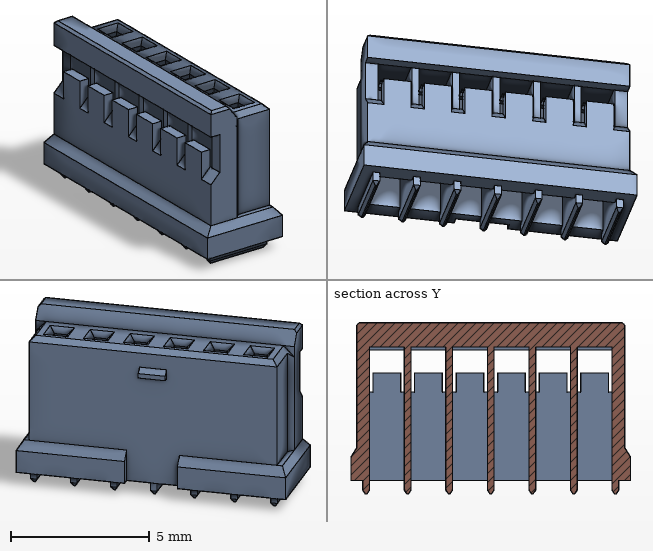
import cadquery as cq


contact_count = 6
row_length = 9.0
pitch = row_length / contact_count
row_start = -pitch * (contact_count - 1) / 2
contact_centres = [row_start + pitch * i for i in range(contact_count)]
wall_centres = [row_start + pitch * (i - 0.5) for i in range(contact_count + 1)]

flange_length = 10.1
flange_depth = 3.35
flange_bottom = 0.49
flange_shoulder = 1.34
flange_top = 1.68
flange_notch_width = 1.98

body_length = 9.7
front_face = 0.3
block_back = 1.45
ridge_top = 6.2
ridge_chamfer = 0.1
ridge_slope_run = 0.4

rear_length = 9.29
rear_face = 3.06
rear_top = 5.7
rear_chamfer = 0.2
rear_step = (body_length - rear_length) / 2

recess_depth = 0.39
recess_floor = front_face + recess_depth
recess_bottom = 3.3
recess_top = 5.2
tooth_width = 1.01
tooth_top = 4.38

wall_thickness = 0.25
cavity_width = pitch - wall_thickness
cavity_top = 5.31
entry_centre = 2.24
entry_width = 0.91
throat_width = 0.48
entry_depth = (entry_width - throat_width) / 2
cavity_back = entry_centre + entry_width / 2

fin_front = 0.42
fin_depth = 2.52
fin_taper = 0.1
fin_tip_height = 0.15

bump_width = 1.01
bump_depth = 0.18
bump_bottom = 4.6
bump_height = 0.35


def box(x_centre, width, y_start, y_end, z_start, z_end):
    """Upright block centred on x_centre."""
    return (
        cq.Workplane("XY")
        .box(width, y_end - y_start, z_end - z_start, centered=(True, False, False))
        .translate((x_centre, y_start, z_start))
    )


def side_prism(points, width):
    """Extrude a (y, z) outline symmetrically about X = 0."""
    return cq.Workplane("YZ").polyline(points).close().extrude(width / 2, both=True)


def frustum(centre, lower_size, upper_size, height):
    """Rectangular frustum: centre is the middle of its lower face, sizes are (x, y)."""
    return (
        cq.Workplane("XY", origin=centre)
        .rect(*lower_size)
        .workplane(offset=height)
        .rect(*upper_size)
        .loft(ruled=True)
    )


def end_chamfer(length, top, chamfer, depth):
    """Wedges to cut from the top ends of a block, each leaving a 45 degree chamfer."""
    half = length / 2
    reach = 2 * chamfer
    wedge = (
        cq.Workplane("XZ")
        .polyline([
            (half - chamfer, top),
            (half + reach, top),
            (half + reach, top - chamfer - reach),
        ])
        .close()
        .extrude(-depth)
    )
    return wedge.union(wedge.mirror("YZ"))


def make_flange():
    band = box(0, flange_length, 0, flange_depth, flange_bottom, flange_shoulder)
    bevel_outline = [
        (0, flange_shoulder),
        (front_face, flange_top),
        (rear_face, flange_top),
        (flange_depth, flange_shoulder),
    ]
    bevel = side_prism(bevel_outline, flange_length)
    end_slope = (
        cq.Workplane("XZ")
        .polyline([
            (-flange_length / 2, flange_shoulder),
            (-body_length / 2, flange_top),
            (body_length / 2, flange_top),
            (flange_length / 2, flange_shoulder),
        ])
        .close()
        .extrude(-flange_depth)
    )
    notch = box(0, flange_notch_width, rear_face, flange_depth, flange_bottom, flange_top)
    return band.union(bevel.intersect(end_slope)).cut(notch)


def make_front_block():
    outline = [
        (front_face, flange_bottom),
        (front_face, ridge_top - ridge_chamfer),
        (front_face + ridge_chamfer, ridge_top),
        (block_back - ridge_slope_run, ridge_top),
        (block_back, rear_top),
        (block_back, flange_bottom),
    ]
    block = side_prism(outline, body_length)
    block = block.cut(end_chamfer(body_length, ridge_top, ridge_chamfer, flange_depth))
    recess = side_prism([
        (front_face, recess_bottom),
        (recess_floor, recess_bottom + recess_depth),
        (recess_floor, recess_top),
        (front_face, recess_top),
    ], body_length)
    block = block.cut(recess)
    for x in contact_centres:
        block = block.union(box(x, tooth_width, front_face, recess_floor, recess_bottom, tooth_top))
    return block


def make_rear_block():
    half_front = body_length / 2
    half_rear = rear_length / 2
    block = (
        cq.Workplane("XY", origin=(0, 0, flange_bottom))
        .polyline([
            (-half_front, block_back),
            (half_front, block_back),
            (half_rear, block_back + rear_step),
            (half_rear, rear_face),
            (-half_rear, rear_face),
            (-half_rear, block_back + rear_step),
        ])
        .close()
        .extrude(rear_top - flange_bottom)
    )
    block = block.faces(">Y").edges(">Z").chamfer(rear_chamfer)
    return block.cut(end_chamfer(rear_length, rear_top, rear_chamfer, flange_depth))


def make_bump():
    back = rear_face + bump_depth
    top = bump_bottom + bump_height
    return side_prism([
        (rear_face, bump_bottom),
        (back, bump_bottom),
        (back, top - bump_depth),
        (rear_face, top),
    ], bump_width)


def make_fin(x):
    fin_back = fin_front + fin_depth
    blade = box(x, wall_thickness, fin_front, fin_back, fin_tip_height, flange_bottom)
    tip = frustum(
        (x, (fin_front + fin_back) / 2, 0),
        (wall_thickness - 2 * fin_taper, fin_depth - 2 * fin_taper),
        (wall_thickness, fin_depth),
        fin_tip_height,
    )
    return blade.union(tip)


def make_cavity(x):
    chamber = box(x, cavity_width, recess_floor, cavity_back, flange_bottom, cavity_top)
    entry_floor = rear_top - entry_depth
    throat = box(x, throat_width, entry_centre - throat_width / 2, entry_centre + throat_width / 2,
                 cavity_top, entry_floor)
    entry = frustum(
        (x, entry_centre, entry_floor),
        (throat_width, throat_width),
        (entry_width, entry_width),
        entry_depth,
    )
    return chamber.union(throat).union(entry)


result = make_flange().union(make_front_block()).union(make_rear_block()).union(make_bump())
for contact_x in contact_centres:
    result = result.cut(make_cavity(contact_x))
for wall_x in wall_centres:
    result = result.union(make_fin(wall_x))